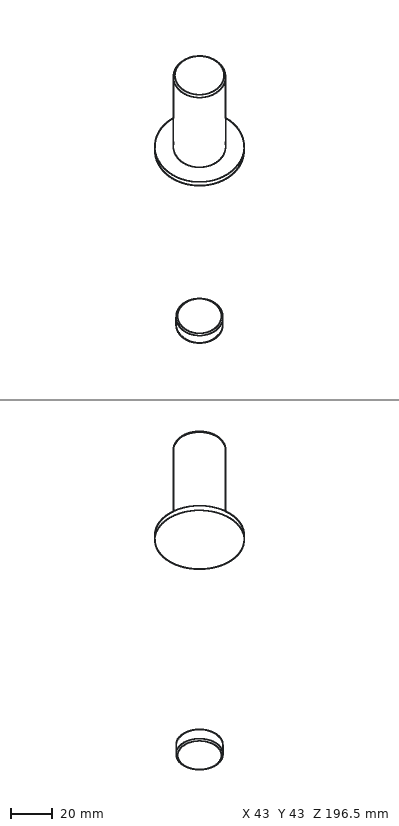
import cadquery as cq

total_height = 196.5
bottom_z = -total_height / 2
top_z = total_height / 2

flange_diameter = 43.0
flange_thickness = 3.0
shank_diameter = 25.2
pin_length = 59.0
pin_chamfer_height = 1.28
pin_chamfer_width = 0.8

disc_diameter = 22.5
disc_thickness = 7.5
disc_chamfer = 0.8


def make_pin():
    """Flange at the bottom, round shank above it with a chamfered tip."""
    flange_base_z = top_z - pin_length
    flange = (
        cq.Workplane("XY")
        .workplane(offset=flange_base_z)
        .circle(flange_diameter / 2)
        .extrude(flange_thickness)
    )
    shank = (
        flange.faces(">Z")
        .workplane()
        .circle(shank_diameter / 2)
        .extrude(pin_length - flange_thickness)
    )
    tip_radius = shank_diameter / 2 - pin_chamfer_width
    tip_base_z = top_z - pin_chamfer_height
    tip_ring = (
        cq.Workplane("XZ")
        .moveTo(shank_diameter / 2, tip_base_z)
        .lineTo(shank_diameter / 2, top_z)
        .lineTo(tip_radius, top_z)
        .close()
        .revolve(360, (0, 0, 0), (0, 1, 0))
    )
    return shank.cut(tip_ring)


def make_disc():
    """Short disc with both rims chamfered."""
    disc = (
        cq.Workplane("XY")
        .workplane(offset=bottom_z)
        .circle(disc_diameter / 2)
        .extrude(disc_thickness)
    )
    return disc.faces("<Z or >Z").edges().chamfer(disc_chamfer)


pin = make_pin()
disc = make_disc()

result = cq.Compound.makeCompound([pin.val(), disc.val()])